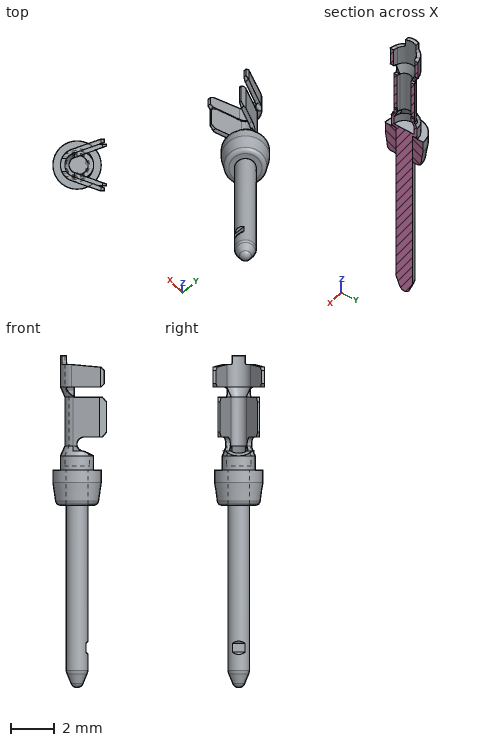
import cadquery as cq
import math


pin_radius = 0.5
tip_cap_radius = 0.27
tip_cap_height = 0.18
nose_top_radius = 0.45
nose_top_z = 0.62
shoulder_z = 0.79
notch_floor_x = 0.41
notch_center_z = 1.81
notch_floor_length = 0.4
notch_mouth_length = 0.6

collar_radius = 1.1
collar_bottom_radius = 0.95
collar_edge_round = 0.23
collar_bottom_z = 8.29
collar_taper_top_z = 9.32
collar_top_z = 9.89

sheet = 0.2
stub_radius = 0.75
stub_inner_radius = stub_radius - sheet
stub_top_z = 10.54
cup_floor_z = collar_top_z + sheet

wing_angle = 19.5
wire_radius = stub_radius - sheet
wire_inner_radius = wire_radius - sheet
wire_tangent_x = -wire_radius * math.sin(math.radians(wing_angle))
wire_bottom_z = 10.98
wire_wing_bottom_z = 11.39
wire_top_z = 13.21
wire_wing_x = 1.35
wire_half_width = 0.95
wire_corner_x = 0.2
wire_corner_z = 0.23

throat_radius = 0.32
throat_back_x = 0.0
throat_center_x = throat_back_x + throat_radius
throat_center_z = wire_wing_bottom_z - throat_radius
throat_bottom_z = throat_center_z - throat_radius

grip_radius = stub_radius
grip_inner_radius = grip_radius - sheet
grip_bottom_z = 13.67
grip_top_z = 14.69
grip_wing_top_z = 14.57
grip_wing_x = 1.24
grip_half_width = 1.18
grip_corner = 0.15
grip_slope_start_x = -0.23

tab_half_width = 0.3
tab_root_round = 0.08
tab_top_z = 15.1

neck_half_width = 0.53
neck_edge_x = -0.12
neck_flare = 0.14

reach = 3.02


def ring_cone(z0, radius0, z1, radius1):
    """Solid cone or cylinder on the Z axis from z0 to z1."""
    return (
        cq.Workplane("XZ")
        .polyline([(0, z0), (radius0, z0), (radius1, z1), (0, z1)])
        .close()
        .revolve(360, (0, 0), (0, 1))
    )


def box_between(x0, x1, y0, y1, z0, z1):
    """Axis-aligned box given by its limits."""
    return cq.Workplane("XY").box(x1 - x0, y1 - y0, z1 - z0, centered=False).translate((x0, y0, z0))


def channel_core(radius, z0, z1):
    """Filled U: a round back of the given radius with two straight sides tangent to it."""
    angle = math.radians(wing_angle)
    tangent_x = -radius * math.sin(angle)
    tangent_y = radius * math.cos(angle)
    far_y = tangent_y + (reach - tangent_x) * math.tan(angle)
    return (
        cq.Workplane("XY", origin=(0, 0, z0))
        .moveTo(reach, -far_y)
        .lineTo(tangent_x, -tangent_y)
        .threePointArc((-radius, 0), (tangent_x, tangent_y))
        .lineTo(reach, far_y)
        .close()
        .extrude(z1 - z0)
    )


def channel(radius, z0, z1):
    """U-shaped sheet whose outside has the given radius."""
    return channel_core(radius, z0, z1).cut(channel_core(radius - sheet, z0, z1))


def side_prism(outline, half_width):
    """Prism through Y, centred on the XZ plane, from a closed outline in X and Z."""
    return outline.close().extrude(half_width, both=True)


def make_shank():
    cap_sphere_radius = (tip_cap_radius**2 + tip_cap_height**2) / (2 * tip_cap_height)
    half_cap_angle = math.asin(tip_cap_radius / cap_sphere_radius) / 2
    cap_middle = (
        cap_sphere_radius * math.sin(half_cap_angle),
        cap_sphere_radius * (1 - math.cos(half_cap_angle)),
    )
    shank = (
        cq.Workplane("XZ")
        .moveTo(0, 0)
        .threePointArc(cap_middle, (tip_cap_radius, tip_cap_height))
        .lineTo(nose_top_radius, nose_top_z)
        .tangentArcPoint((pin_radius, shoulder_z), relative=False)
        .lineTo(pin_radius, collar_top_z)
        .lineTo(0, collar_top_z)
        .close()
        .revolve(360, (0, 0), (0, 1))
    )
    notch = cq.Workplane("XZ").polyline([
        (notch_floor_x, notch_center_z - notch_floor_length / 2),
        (pin_radius, notch_center_z - notch_mouth_length / 2),
        (reach, notch_center_z - notch_mouth_length / 2),
        (reach, notch_center_z + notch_mouth_length / 2),
        (pin_radius, notch_center_z + notch_mouth_length / 2),
        (notch_floor_x, notch_center_z + notch_floor_length / 2),
    ])
    return shank.cut(side_prism(notch, reach))


def make_stub():
    """Cupped stub that narrows to the wire barrel and has a sloped mouth on its +X side."""
    stub = ring_cone(collar_top_z, stub_radius, stub_top_z, stub_radius)
    stub = stub.union(ring_cone(stub_top_z, stub_radius, wire_bottom_z, wire_radius))
    stub = stub.cut(ring_cone(cup_floor_z, stub_inner_radius, stub_top_z, stub_inner_radius))
    stub = stub.cut(ring_cone(stub_top_z, stub_inner_radius, wire_bottom_z, wire_inner_radius))
    mouth = (
        cq.Workplane("XZ")
        .moveTo(throat_back_x, throat_center_z)
        .radiusArc((throat_center_x, throat_bottom_z), -throat_radius)
        .lineTo(stub_radius, stub_top_z)
        .lineTo(reach, stub_top_z)
        .lineTo(reach, throat_center_z)
    )
    stub = stub.cut(side_prism(mouth, reach))
    ledge = box_between(wire_tangent_x, reach, -reach, reach, throat_bottom_z, wire_bottom_z)
    ledge = ledge.cut(channel_core(wire_radius, throat_bottom_z, wire_bottom_z))
    return stub.cut(ledge)


def make_wire_barrel():
    wing_side = (
        cq.Workplane("XZ")
        .moveTo(-reach, throat_bottom_z)
        .lineTo(throat_center_x, throat_bottom_z)
        .threePointArc((throat_back_x, throat_center_z), (throat_center_x, wire_wing_bottom_z))
        .lineTo(wire_wing_x - wire_corner_x, wire_wing_bottom_z)
        .lineTo(wire_wing_x, wire_wing_bottom_z + wire_corner_z)
        .lineTo(wire_wing_x, wire_top_z - wire_corner_z)
        .lineTo(wire_wing_x - wire_corner_x, wire_top_z)
        .lineTo(-reach, wire_top_z)
    )
    barrel = channel(wire_radius, throat_bottom_z, wire_top_z)
    barrel = barrel.intersect(side_prism(wing_side, wire_half_width))
    return barrel.cut(box_between(-reach, wire_tangent_x, -reach, reach, throat_bottom_z, wire_bottom_z))


def make_neck():
    cone = ring_cone(wire_top_z, wire_radius, grip_bottom_z, grip_radius)
    cone = cone.cut(ring_cone(wire_top_z, wire_inner_radius, grip_bottom_z, grip_inner_radius))
    wide = neck_half_width + neck_flare
    low = wire_top_z + neck_flare
    high = grip_bottom_z - neck_flare
    trim = (
        cq.Workplane("YZ")
        .moveTo(-wide, wire_top_z)
        .lineTo(wide, wire_top_z)
        .radiusArc((neck_half_width, low), neck_flare)
        .lineTo(neck_half_width, high)
        .radiusArc((wide, grip_bottom_z), neck_flare)
        .lineTo(-wide, grip_bottom_z)
        .radiusArc((-neck_half_width, high), neck_flare)
        .lineTo(-neck_half_width, low)
        .radiusArc((-wide, wire_top_z), neck_flare)
        .close()
        .extrude(-reach)
        .translate((neck_edge_x, 0, 0))
    )
    return cone.intersect(trim)


def make_grip_barrel():
    """Insulation barrel with its two wings and the upright tab on its back."""
    wing_side = cq.Workplane("XZ").polyline([
        (-reach, grip_bottom_z),
        (grip_wing_x - grip_corner, grip_bottom_z),
        (grip_wing_x, grip_bottom_z + grip_corner),
        (grip_wing_x, grip_wing_top_z - grip_corner),
        (grip_wing_x - grip_corner, grip_wing_top_z),
        (grip_slope_start_x, grip_top_z),
        (-reach, grip_top_z),
    ])
    barrel = channel(grip_radius, grip_bottom_z, grip_top_z)
    barrel = barrel.intersect(side_prism(wing_side, grip_half_width))
    root_half_width = tab_half_width + tab_root_round
    root_top_z = grip_top_z + tab_root_round
    tab_outline = (
        cq.Workplane("YZ")
        .moveTo(-root_half_width, grip_top_z)
        .lineTo(root_half_width, grip_top_z)
        .radiusArc((tab_half_width, root_top_z), tab_root_round)
        .lineTo(tab_half_width, tab_top_z)
        .lineTo(-tab_half_width, tab_top_z)
        .lineTo(-tab_half_width, root_top_z)
        .radiusArc((-root_half_width, grip_top_z), tab_root_round)
        .close()
        .extrude(-reach)
    )
    tab = channel(grip_radius, grip_top_z, tab_top_z).intersect(tab_outline)
    return barrel.union(tab)


def make_contact():
    contact = make_shank().union(make_stub())
    contact = contact.union(make_wire_barrel())
    contact = contact.union(make_neck())
    return contact.union(make_grip_barrel())


def make_collar():
    """Tapered ring that fits the shank and carries the stub on its top face."""
    collar = ring_cone(collar_bottom_z, collar_bottom_radius, collar_taper_top_z, collar_radius)
    collar = collar.faces("<Z").edges().fillet(collar_edge_round)
    collar = collar.union(ring_cone(collar_taper_top_z, collar_radius, collar_top_z, collar_radius))
    return collar.cut(ring_cone(collar_bottom_z, pin_radius, collar_top_z, pin_radius))


contact = make_contact()
collar = make_collar()

result = cq.Compound.makeCompound([contact.solids().val(), collar.solids().val()])